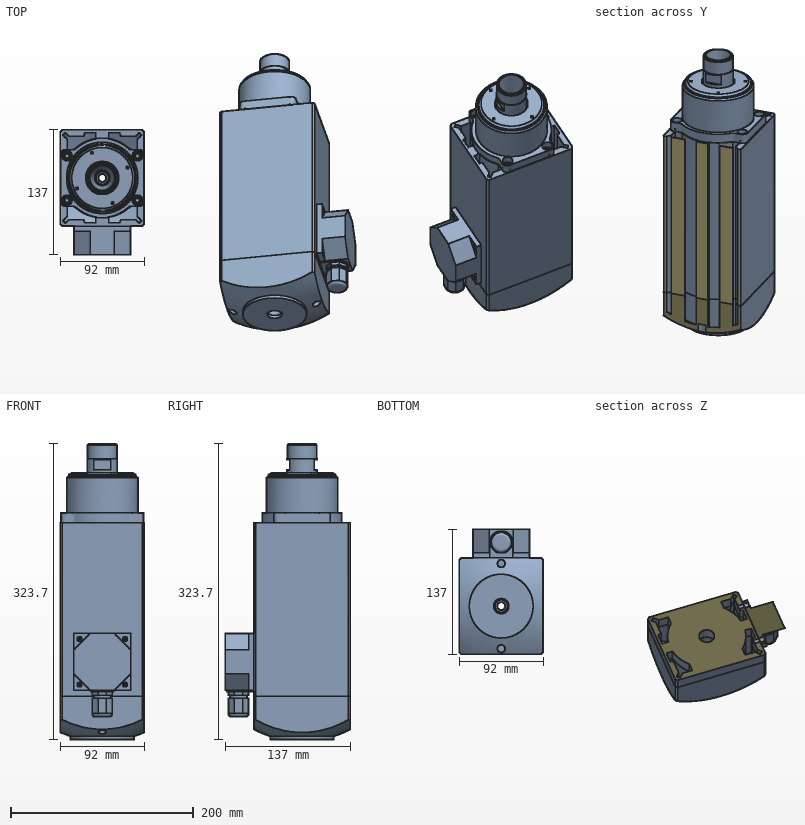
import cadquery as cq
import math


foot_top = 3.5
cap_top = 47.5
housing_top = 237.5
flange_top = 248.3
bearing_top = 288.5
cover_top = 292.0
spindle_top = 323.7

housing_width = 92.0
housing_depth = 105.5
corner_chamfer = 2.3
dome_radius = 110.0
dome_wall = 6.5
foot_radius = 35.0
cap_hole_radius = 4.2
cap_hole_offset = 46.5
cap_hole_depth = 13.0

channel_rib_half = 7.0
channel_notch_x = 19.0
channel_notch_y = 49.2
channel_notch_run = 1.3
channel_wall_x = 38.2
channel_wall_y = 45.5
channel_start_y = 31.0
channel_core_radius = 43.0
finger_tip_x = 41.8
finger_axis_offset = 6.5
finger_half_span = 2.5

flange_radius = 43.7
ear_half_width = 45.3
ear_half_depth = 31.0
ear_corner_radius = 5.2
ear_blend_radius = 5.2
bearing_radius = 39.2
bearing_chamfer = 2.0
bolt_x = 38.5
bolt_y = 24.3
bolt_head_radius = 5.5
bolt_head_depth = 8.5
bolt_hole_radius = 4.0
thread_hole_radius = 2.5
thread_hole_depth = 13.0

cover_radius = 37.0
cover_face_radius = 33.5
cover_bevel_height = 2.0
cover_neck_radius = 35.5
cover_neck_height = 1.0
cover_bore_radius = 18.0
pin_hole_count = 4
pin_hole_radius = 1.3
pin_hole_circle = 29.8
pin_hole_depth = 3.2
pin_hole_angle = 22.5

spindle_radius = 16.5
nose_radius = 16.2
nose_bottom = 307.5
nose_chamfer = 1.3
taper_top_radius = 13.5
taper_depth = 37.0
taper_bottom = spindle_top - taper_depth
passage_radius = 8.0
flat_distance = 13.5
flat_bottom = 295.2
flat_top = 306.5
drawbar_radius = 7.0
drawbar_bore_radius = 4.2

box_size = 62.0
box_bottom = 54.0
box_middle = box_bottom + box_size / 2
box_front = 84.2
box_plate_thickness = 5.8
box_corner_cut = 17.8
box_hole_offset = 25.0
box_hole_radius = 2.5
box_thread_radius = 2.0
box_thread_depth = 6.5
drill_half_angle = 59.0

gland_offset = 69.5
gland_boss_radius = 12.5
gland_sides = 8
gland_across_flats = 22.3
gland_neck_radius = 9.5
gland_boss_bottom = 52.5
gland_collar_bottom = 48.5
gland_nut_top = 45.3
gland_nut_bottom = 25.0
gland_nut_rounding = 4.0
gland_nut_end_radius = 7.8


def cylinder(radius, bottom, top):
    return cq.Workplane("XY").workplane(offset=bottom).circle(radius).extrude(top - bottom)


def flatted_prism(across_flats, sides, bottom, top):
    """Prism whose flats face the X and Y axes."""
    vertex_diameter = across_flats / math.cos(math.pi / sides)
    return (
        cq.Workplane("XY").workplane(offset=bottom)
        .transformed(rotate=(0, 0, 180 / sides))
        .polygon(sides, vertex_diameter)
        .extrude(top - bottom)
    )


def drilled_hole(radius, depth):
    """Drill shape that enters downwards from the origin and ends in a cone."""
    tip = radius / math.tan(math.radians(drill_half_angle))
    return (
        cq.Workplane("XZ")
        .polyline([(0, 0), (radius, 0), (radius, -depth), (0, -depth - tip)])
        .close()
        .revolve(360, (0, 0), (0, 1))
    )


def four_corners(x, y):
    return [(sx * x, sy * y) for sx in (-1, 1) for sy in (-1, 1)]


def housing_block(bottom, top):
    return (
        cq.Workplane("XY").workplane(offset=bottom)
        .rect(housing_width, housing_depth)
        .extrude(top - bottom)
        .edges("|Z").chamfer(corner_chamfer)
    )


def cooling_channels(bottom, top):
    """Four corner channels that wrap round the central core of the housing."""
    finger_tip_y = finger_tip_x + finger_axis_offset
    tip_half = finger_half_span / 2
    finger_root_x = channel_wall_y - finger_axis_offset - finger_half_span
    finger_root_y = channel_wall_x + finger_axis_offset - finger_half_span
    outline = [
        (channel_rib_half, channel_start_y),
        (channel_rib_half, channel_notch_y),
        (channel_notch_x, channel_notch_y),
        (channel_notch_x + channel_notch_run, channel_wall_y),
        (finger_root_x, channel_wall_y),
        (finger_tip_x - tip_half, finger_tip_y + tip_half),
        (finger_tip_x + tip_half, finger_tip_y - tip_half),
        (channel_wall_x, finger_root_y),
        (channel_wall_x, channel_start_y),
    ]
    corner = (
        cq.Workplane("XY").workplane(offset=bottom)
        .polyline(outline).close()
        .extrude(top - bottom)
        .cut(cylinder(channel_core_radius, bottom, top))
    )
    pair = corner.union(corner.mirror("YZ"))
    return pair.union(pair.mirror("XZ"))


def dome(radius):
    """Ball whose lower side forms the domed end of the cap."""
    center_height = foot_top + math.sqrt(dome_radius**2 - foot_radius**2)
    return cq.Workplane("XY").sphere(radius).translate((0, 0, center_height))


def make_housing():
    housing = housing_block(cap_top, housing_top)
    housing = housing.cut(cooling_channels(cap_top, housing_top))
    housing = housing.cut(cylinder(passage_radius, cap_top, housing_top))
    for x, y in four_corners(bolt_x, bolt_y):
        thread_hole = drilled_hole(thread_hole_radius, thread_hole_depth)
        housing = housing.cut(thread_hole.translate((x, y, housing_top)))
    for x, z in four_corners(box_hole_offset, box_hole_offset):
        thread_hole = drilled_hole(box_thread_radius, box_thread_depth).rotate((0, 0, 0), (1, 0, 0), 90)
        housing = housing.cut(thread_hole.translate((x, -housing_depth / 2, box_middle + z)))
    return housing


def make_end_cap():
    cap = housing_block(foot_top, cap_top).intersect(dome(dome_radius))
    channels = cooling_channels(foot_top, cap_top).intersect(dome(dome_radius - dome_wall))
    cap = cap.cut(channels).cut(cylinder(passage_radius, foot_top, cap_top))
    for side in (-1, 1):
        screw_hole = cylinder(cap_hole_radius, foot_top, foot_top + cap_hole_depth)
        cap = cap.cut(screw_hole.translate((0, side * cap_hole_offset, 0)))
    return cap


def make_foot():
    return cylinder(foot_radius, 0, foot_top).cut(cylinder(passage_radius, 0, foot_top))


def make_bearing_housing():
    height = flange_top - housing_top
    ears = (
        cq.Workplane("XY").workplane(offset=housing_top)
        .rect(2 * ear_half_width, 2 * ear_half_depth)
        .extrude(height)
        .edges("|Z").fillet(ear_corner_radius)
    )
    flange = ears.union(cylinder(flange_radius, housing_top, flange_top))
    blend_x = math.sqrt(flange_radius**2 - ear_half_depth**2)
    margin = 0.3
    blend_edges = cq.selectors.BoxSelector(
        (-blend_x - margin, -ear_half_depth - margin, housing_top),
        (blend_x + margin, ear_half_depth + margin, flange_top),
    )
    flange = flange.edges("|Z").edges(blend_edges).fillet(ear_blend_radius)
    barrel = cylinder(bearing_radius, housing_top, bearing_top).faces(">Z").chamfer(bearing_chamfer)
    for x, y in four_corners(bolt_x, bolt_y):
        bolt_hole = cylinder(bolt_hole_radius, housing_top, flange_top)
        counterbore = cylinder(bolt_head_radius, flange_top - bolt_head_depth, flange_top)
        flange = flange.cut(bolt_hole.union(counterbore).translate((x, y, 0)))
    return flange.union(barrel).cut(cylinder(spindle_radius, housing_top, bearing_top))


def make_cover():
    cover = (
        cq.Workplane("XZ")
        .polyline([
            (cover_bore_radius, bearing_top),
            (cover_neck_radius, bearing_top),
            (cover_neck_radius, bearing_top + cover_neck_height),
            (cover_radius, bearing_top + cover_neck_height),
            (cover_radius, cover_top - cover_bevel_height),
            (cover_face_radius, cover_top),
            (cover_bore_radius, cover_top),
        ])
        .close()
        .revolve(360, (0, 0), (0, 1))
    )
    pin_holes = (
        cq.Workplane("XY").workplane(offset=cover_top)
        .polarArray(pin_hole_circle, pin_hole_angle, 360, pin_hole_count)
        .circle(pin_hole_radius)
        .extrude(-pin_hole_depth)
    )
    return cover.cut(pin_holes)


def make_spindle():
    spindle = (
        cq.Workplane("XZ")
        .polyline([
            (passage_radius, housing_top),
            (spindle_radius, housing_top),
            (spindle_radius, nose_bottom),
            (nose_radius, nose_bottom),
            (nose_radius, spindle_top - nose_chamfer),
            (nose_radius - nose_chamfer, spindle_top),
            (taper_top_radius, spindle_top),
            (passage_radius, taper_bottom),
        ])
        .close()
        .revolve(360, (0, 0), (0, 1))
    )
    for side in (-1, 1):
        wrench_flat = (
            cq.Workplane("XY").workplane(offset=flat_bottom)
            .center(0, side * (flat_distance + spindle_radius / 2))
            .rect(2 * spindle_radius, spindle_radius)
            .extrude(flat_top - flat_bottom)
        )
        spindle = spindle.cut(wrench_flat)
    return spindle


def make_drawbar():
    """Tube with a clearance all round inside the spindle passage."""
    bar = cylinder(drawbar_radius, housing_top, taper_bottom)
    return bar.cut(cylinder(drawbar_bore_radius, housing_top, taper_bottom))


def make_terminal_box():
    back = housing_depth / 2

    def square_from(distance, thickness):
        return (
            cq.Workplane("XZ", origin=(0, -distance, box_middle))
            .rect(box_size, box_size)
            .extrude(thickness)
        )

    plate = square_from(back, box_plate_thickness)
    cover_back = back + box_plate_thickness
    octagon = square_from(cover_back, box_front - cover_back).edges("|Y").chamfer(box_corner_cut)
    box = plate.union(octagon)
    for x, z in four_corners(box_hole_offset, box_hole_offset):
        screw_hole = (
            cq.Workplane("XZ", origin=(x, -back, box_middle + z))
            .circle(box_hole_radius)
            .extrude(box_plate_thickness)
        )
        box = box.cut(screw_hole)
    boss_height = box_bottom - gland_boss_bottom
    boss = (
        cq.Workplane("XY").workplane(offset=gland_boss_bottom)
        .moveTo(gland_boss_radius, -back)
        .lineTo(gland_boss_radius, -gland_offset)
        .threePointArc((0, -gland_offset - gland_boss_radius), (-gland_boss_radius, -gland_offset))
        .lineTo(-gland_boss_radius, -back)
        .close()
        .extrude(boss_height)
    )
    return box.union(boss)


def make_gland_body():
    collar = flatted_prism(gland_across_flats, gland_sides, gland_collar_bottom, gland_boss_bottom)
    neck = cylinder(gland_neck_radius, gland_nut_top, gland_collar_bottom)
    return collar.union(neck).translate((0, -gland_offset, 0))


def make_gland_nut():
    nut = flatted_prism(gland_across_flats, gland_sides, gland_nut_bottom, gland_nut_top)
    flat_radius = gland_across_flats / 2
    shoulder = gland_nut_bottom + gland_nut_rounding
    end_inset = flat_radius - gland_nut_end_radius
    dome_middle = (
        flat_radius - end_inset * (1 - math.cos(math.pi / 4)),
        shoulder - gland_nut_rounding * math.sin(math.pi / 4),
    )
    vertex_radius = flat_radius / math.cos(math.pi / gland_sides)
    envelope = (
        cq.Workplane("XZ")
        .moveTo(0, gland_nut_bottom)
        .lineTo(gland_nut_end_radius, gland_nut_bottom)
        .threePointArc(dome_middle, (flat_radius, shoulder))
        .lineTo(vertex_radius, shoulder)
        .lineTo(vertex_radius, gland_nut_top)
        .lineTo(0, gland_nut_top)
        .close()
        .revolve(360, (0, 0), (0, 1))
    )
    return nut.intersect(envelope).translate((0, -gland_offset, 0))


housing = make_housing()
end_cap = make_end_cap()
foot = make_foot()
bearing_housing = make_bearing_housing()
cover = make_cover()
spindle = make_spindle()
drawbar = make_drawbar()
terminal_box = make_terminal_box()
gland_body = make_gland_body()
gland_nut = make_gland_nut()

result = cq.Compound.makeCompound([
    housing.val(),
    end_cap.val(),
    foot.val(),
    bearing_housing.val(),
    cover.val(),
    spindle.val(),
    drawbar.val(),
    terminal_box.val(),
    gland_body.val(),
    gland_nut.val(),
])